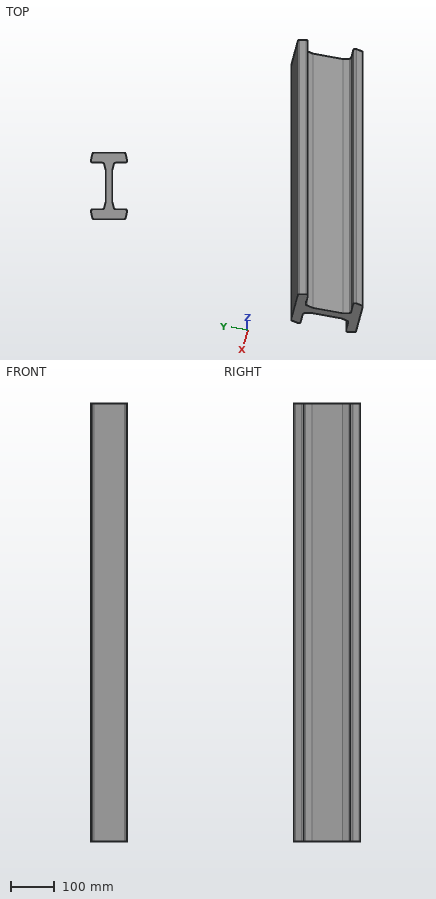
import cadquery as cq

length = 1000.0
depth = 152.0
flange_width = 83.0

outer_face_width = 75.0
inner_face_height = 53.0
outer_edge_radius = 4.0
inner_edge_radius = 5.0
tip_land_height = 6.0

web_thickness = 15.0
web_straight_height = 35.0
root_thickness = 24.0
root_radius = 5.0

quarter_outline = [
    (0, 0),
    (0, depth / 2),
    (outer_face_width / 2, depth / 2),
    (flange_width / 2, inner_face_height + tip_land_height),
    (flange_width / 2, inner_face_height),
    (root_thickness / 2, inner_face_height),
    (web_thickness / 2, web_straight_height),
    (web_thickness / 2, 0),
]
quarter = cq.Workplane("XY").polyline(quarter_outline).close().extrude(length)


def round_edge(body, corner, radius):
    """Round the lengthwise edge that passes through a corner of the section."""
    edge = cq.selectors.NearestToPointSelector((corner[0], corner[1], length / 2))
    return body.edges("|Z").edges(edge).fillet(radius)


outer_corner = (outer_face_width / 2, depth / 2)
inner_corner = (flange_width / 2, inner_face_height)
root_corner = (root_thickness / 2, inner_face_height)

quarter = round_edge(quarter, inner_corner, inner_edge_radius)
quarter = round_edge(quarter, outer_corner, outer_edge_radius)
quarter = round_edge(quarter, root_corner, root_radius)

half = quarter.union(quarter.mirror("YZ"))
result = half.union(half.mirror("XZ")).clean()